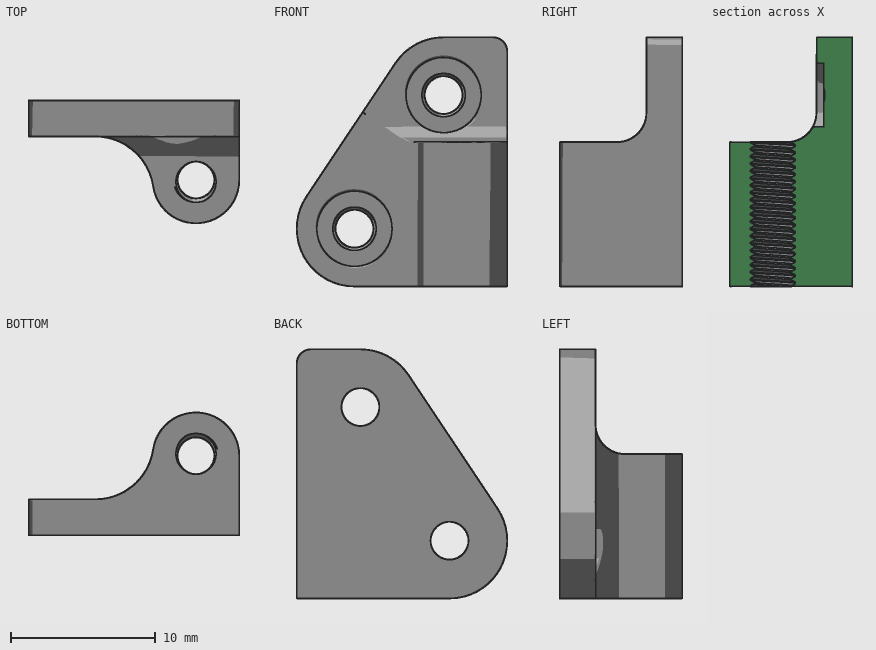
import cadquery as cq
import math


boss_radius = 3.0
boss_height = 10.0
thread_minor_diameter = 2.53
thread_major_diameter = 3.09
thread_pitch = 0.5
thread_flank_angle = math.radians(30)
thread_overrun = 2
thread_root_flat = thread_pitch / 8

plate_thickness = 2.5
plate_front_y = 3.0
plate_back_y = plate_front_y + plate_thickness
right_x = boss_radius
lobe_radius = 4.0
corner_radius = 1.0

lower_hole = (-7.57, lobe_radius)
upper_hole = (-1.41, 13.24)
screw_diameter = 2.6
counterbore_diameter = 5.2
counterbore_depth = 0.5
hole_chamfer = 0.2
counterbore_rim_radius = 0.2

side_blend_radius = 4.0
top_blend_radius = 2.0
edge_radius = 0.09

plate_top_z = upper_hole[1] + lobe_radius
blend_top_z = boss_height + top_blend_radius


def make_plate():
    """Plate with two round lobes joined by a straight tangent edge."""
    dx = upper_hole[0] - lower_hole[0]
    dz = upper_hole[1] - lower_hole[1]
    tangent_angle = math.atan2(dz, dx) + math.pi / 2

    def lobe_point(center, angle):
        return (center[0] + lobe_radius * math.cos(angle), center[1] + lobe_radius * math.sin(angle))

    lower_mid = (tangent_angle + 1.5 * math.pi) / 2
    upper_mid = (tangent_angle + 0.5 * math.pi) / 2
    plate = (
        cq.Workplane("XZ", origin=(0, plate_back_y, 0))
        .moveTo(right_x, 0)
        .lineTo(lower_hole[0], 0)
        .threePointArc(lobe_point(lower_hole, lower_mid), lobe_point(lower_hole, tangent_angle))
        .lineTo(*lobe_point(upper_hole, tangent_angle))
        .threePointArc(lobe_point(upper_hole, upper_mid), (upper_hole[0], plate_top_z))
        .lineTo(right_x, plate_top_z)
        .close()
        .extrude(plate_thickness)
    )
    return plate.edges("|Y and >X and >Z").fillet(corner_radius)


def make_boss():
    """Round boss flowing into the plate through a side blend and a top blend."""
    blend_y = plate_front_y - side_blend_radius
    center_distance = boss_radius + side_blend_radius
    blend_x = -math.sqrt(center_distance**2 - blend_y**2)
    share = boss_radius / center_distance
    meeting_point = (blend_x * share, blend_y * share)
    meeting_angle = math.atan2(-blend_y, -blend_x)
    mid_angle = (meeting_angle + math.pi / 2) / 2
    blend_mid = (
        blend_x + side_blend_radius * math.cos(mid_angle),
        blend_y + side_blend_radius * math.sin(mid_angle),
    )
    body = (
        cq.Workplane("XY")
        .moveTo(blend_x, plate_front_y)
        .threePointArc(blend_mid, meeting_point)
        .threePointArc((0, -boss_radius), (right_x, 0))
        .lineTo(right_x, plate_front_y)
        .close()
        .extrude(blend_top_z)
    )
    blend_front_y = plate_front_y - top_blend_radius
    diagonal = top_blend_radius * math.sqrt(0.5)
    side_profile = (
        cq.Workplane("YZ", origin=(blend_x, 0, 0))
        .moveTo(plate_front_y, 0)
        .lineTo(plate_front_y, blend_top_z)
        .threePointArc((blend_front_y + diagonal, blend_top_z - diagonal), (blend_front_y, boss_height))
        .lineTo(-boss_radius, boss_height)
        .lineTo(-boss_radius, 0)
        .close()
        .extrude(right_x - blend_x)
    )
    return body.intersect(side_profile)


def round_front_edges(part):
    """Round the front rim; picking one edge rounds the whole smooth chain around the part."""
    top_edge_mid_x = (upper_hole[0] + right_x - corner_radius) / 2
    plate_top_edge = cq.selectors.NearestToPointSelector((top_edge_mid_x, plate_front_y, plate_top_z))
    return part.edges(plate_top_edge).fillet(edge_radius)


def cut_screw_hole(part, hole):
    """Counterbored screw hole with a chamfered hole and a rounded counterbore rim."""
    hole_x, hole_z = hole
    floor_y = plate_front_y + counterbore_depth
    through = (
        cq.Workplane("XZ", origin=(hole_x, plate_back_y, hole_z))
        .circle(screw_diameter / 2)
        .extrude(plate_thickness)
    )
    counterbore = (
        cq.Workplane("XZ", origin=(hole_x, floor_y, hole_z))
        .circle(counterbore_diameter / 2)
        .extrude(floor_y + boss_radius)
    )
    countersink = (
        cq.Workplane("XZ", origin=(hole_x, floor_y, hole_z))
        .circle(screw_diameter / 2 + hole_chamfer)
        .workplane(offset=-hole_chamfer)
        .circle(screw_diameter / 2)
        .loft()
    )
    part = part.cut(through).cut(counterbore).cut(countersink)
    rim_half = counterbore_diameter / 2 + counterbore_rim_radius
    rim_box = cq.selectors.BoxSelector(
        (hole_x - rim_half, -boss_radius, hole_z - rim_half),
        (hole_x + rim_half, floor_y - counterbore_depth / 2, hole_z + rim_half),
        boundingbox=True,
    )
    return part.edges(rim_box).fillet(counterbore_rim_radius)


def make_turn_edge(radius, start_z):
    """One right-handed turn of a helix about the Z axis, starting toward +X."""
    center = cq.Vector(0, 0, start_z)
    return cq.Wire.makeHelix(thread_pitch, thread_pitch, radius, center=center).Edges()[0]


def make_thread_end(profile, start_z):
    """Faces closing the threaded rod: a helical floor down to the axis and a flat step."""
    rim_radius, rim_z = profile[0]
    low_z = start_z + rim_z
    axis_line = cq.Edge.makeLine(cq.Vector(0, 0, low_z), cq.Vector(0, 0, low_z + thread_pitch))
    floor = cq.Face.makeRuledSurface(make_turn_edge(rim_radius, low_z), axis_line)
    outline = [cq.Vector(radius, 0, start_z + z) for radius, z in profile]
    outline += [cq.Vector(0, 0, low_z + thread_pitch), cq.Vector(0, 0, low_z)]
    step = cq.Face.makeFromWires(cq.Wire.makePolygon(outline, close=True))
    return [floor, step]


def make_threaded_rod():
    """Solid filling the threaded hole, with the thread groove opening toward -Y at the boss top."""
    minor_radius = thread_minor_diameter / 2
    major_radius = thread_major_diameter / 2
    root_half = thread_root_flat / 2
    mouth_half = root_half + (major_radius - minor_radius) * math.tan(thread_flank_angle)
    profile = [
        (minor_radius, -mouth_half),
        (major_radius, -root_half),
        (major_radius, root_half),
        (minor_radius, mouth_half),
        (minor_radius, thread_pitch - mouth_half),
    ]
    first_turn = -thread_overrun
    end_turn = round(boss_height / thread_pitch) + thread_overrun
    faces = make_thread_end(profile, first_turn * thread_pitch)
    faces += make_thread_end(profile, end_turn * thread_pitch)
    for turn in range(first_turn, end_turn):
        turn_z = turn * thread_pitch
        for (low_radius, low_z), (high_radius, high_z) in zip(profile, profile[1:]):
            low_edge = make_turn_edge(low_radius, turn_z + low_z)
            high_edge = make_turn_edge(high_radius, turn_z + high_z)
            faces.append(cq.Face.makeRuledSurface(low_edge, high_edge))
    rod = cq.Solid.makeSolid(cq.Shell.makeShell(faces))
    return cq.Workplane(rod).rotate((0, 0, 0), (0, 0, 1), -90)


def cut_threaded_hole(part):
    """Vertical threaded hole right through the boss."""
    return part.cut(make_threaded_rod(), clean=False)


result = make_plate().union(make_boss())
result = round_front_edges(result)
for hole in (lower_hole, upper_hole):
    result = cut_screw_hole(result, hole)
result = cut_threaded_hole(result)